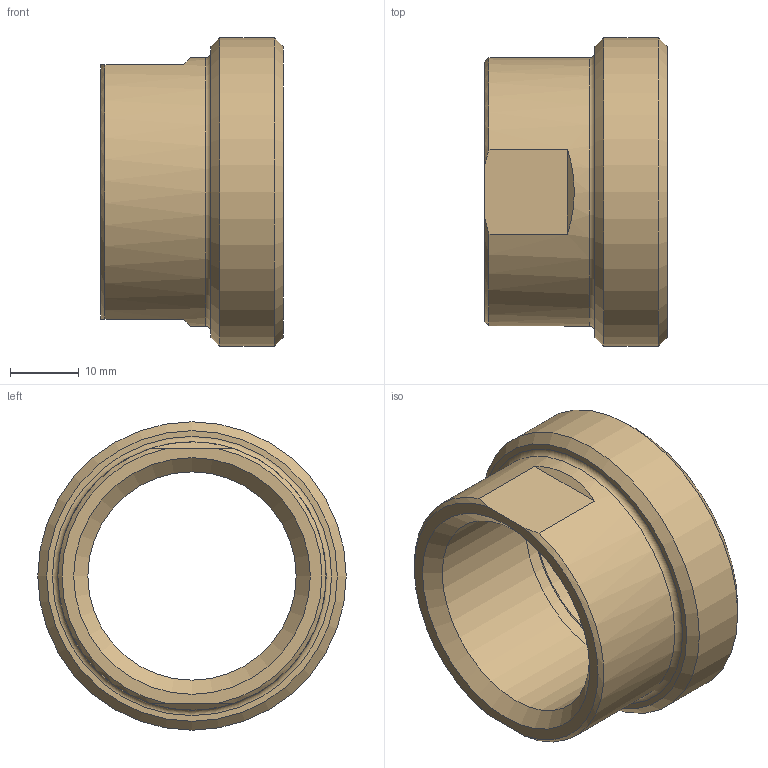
import cadquery as cq

total_length = 26.5
collar_start = 16.0

collar_radius = 44.85 / 2
collar_chamfer = 1.3
spigot_radius = 39.0 / 2
spigot_chamfer = 0.6
root_fillet = 0.8

bore_radius = 30.29 / 2
groove_radius = 30.7 / 2
groove_start = 19.05
slope_start = 21.0
exit_radius = 30.5 / 2
mouth_radius = 17.2
mouth_depth = 2.0

across_flats = 37.0
flat_length = 12.0


def outer_body():
    """Spigot and collar revolved about X, with a concave fillet between them."""
    profile = (
        cq.Workplane("XY")
        .moveTo(0, 0)
        .lineTo(0, spigot_radius - spigot_chamfer)
        .lineTo(spigot_chamfer, spigot_radius)
        .lineTo(collar_start - root_fillet, spigot_radius)
        .radiusArc((collar_start, spigot_radius + root_fillet), -root_fillet)
        .lineTo(collar_start, collar_radius - collar_chamfer)
        .lineTo(collar_start + collar_chamfer, collar_radius)
        .lineTo(total_length - collar_chamfer, collar_radius)
        .lineTo(total_length, collar_radius - collar_chamfer)
        .lineTo(total_length, 0)
        .close()
    )
    return profile.revolve(360, (0, 0, 0), (1, 0, 0))


def bore():
    """Through bore with a conical mouth at the spigot and a shallow groove.

    The groove closes with a 45 degree slope down to the exit bore.
    """
    slope_end = slope_start + groove_radius - exit_radius
    profile = (
        cq.Workplane("XY")
        .moveTo(0, 0)
        .lineTo(0, mouth_radius)
        .lineTo(mouth_depth, bore_radius)
        .lineTo(groove_start, bore_radius)
        .lineTo(groove_start, groove_radius)
        .lineTo(slope_start, groove_radius)
        .lineTo(slope_end, exit_radius)
        .lineTo(total_length, exit_radius)
        .lineTo(total_length, 0)
        .close()
    )
    return profile.revolve(360, (0, 0, 0), (1, 0, 0))


def wrench_flat(side):
    """Cutter for one flat, ending in a 45 degree ramp; side is +1 or -1 along Z."""
    half_flats = across_flats / 2
    cut_height = collar_radius - half_flats
    return (
        cq.Workplane("XZ")
        .moveTo(0, side * half_flats)
        .lineTo(flat_length, side * half_flats)
        .lineTo(flat_length + cut_height, side * collar_radius)
        .lineTo(0, side * collar_radius)
        .close()
        .extrude(collar_radius, both=True)
    )


result = outer_body().cut(bore())
for side in (1, -1):
    result = result.cut(wrench_flat(side))